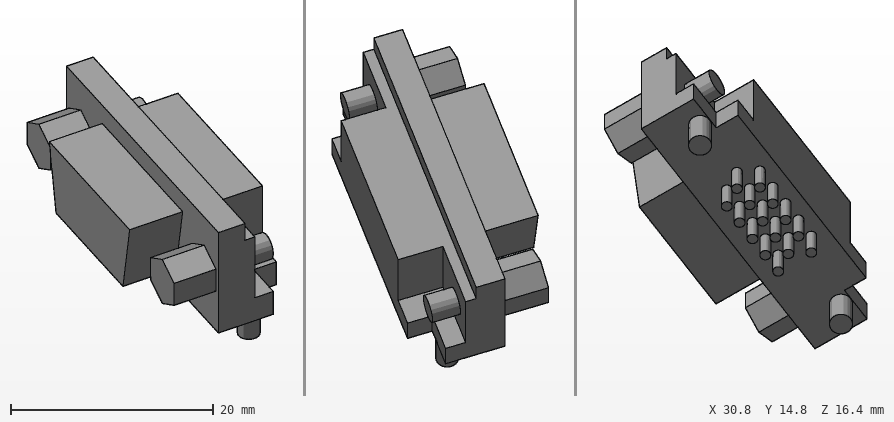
import cadquery as cq
import math

width = 30.8
body_depth = 8.8
body_height = 10.47
flange_height = 12.57
flange_thickness = 3.02
wall_depth = 4.13
mid_height = flange_height / 2

housing_width = 17.15
foot_width = 22.75
foot_height = 2.85
side_foot_depth = 6.22

shell_top_width = 16.3
shell_bottom_width = 13.58
shell_height = 8.0
shell_length = 6.0

mount_spacing = 25.0
hex_across_flats = 4.77
hex_length = 4.75
screw_diameter = 2.8
screw_end_depth = 7.05
post_diameter = 2.28
post_length = 3.8

pin_diameter = 1.08
pin_length = 3.15
pins_per_row = 5
pin_pitch = 2.28
row_pitch = 1.97
pin_row_depth = 5.05
pin_group_shift = 0.83


def block(size_x, size_y, size_z):
    """Box centered in X, starting at the flange face and board seat."""
    return cq.Workplane("XY").box(size_x, size_y, size_z, centered=(True, False, False))


def make_body():
    body = block(width, flange_thickness, flange_height)
    body = body.union(block(width, wall_depth, body_height))
    body = body.union(block(housing_width, body_depth, body_height))
    body = body.union(block(width, side_foot_depth, foot_height))
    return body.union(block(foot_width, body_depth, foot_height))


def make_shell():
    top = mid_height + shell_height / 2
    bottom = mid_height - shell_height / 2
    outline = [
        (-shell_top_width / 2, top),
        (shell_top_width / 2, top),
        (shell_bottom_width / 2, bottom),
        (-shell_bottom_width / 2, bottom),
    ]
    return cq.Workplane("XZ").polyline(outline).close().extrude(shell_length)


def make_jackscrew(x):
    """Hexagonal head, corners up and down, in front of the flange and round end behind the wall."""
    plane = cq.Workplane("XZ").center(x, mid_height)
    corner_radius = hex_across_flats / math.sqrt(3)
    corner_angles = [math.pi / 2 + corner * math.pi / 3 for corner in range(6)]
    corners = [(corner_radius * math.cos(angle), corner_radius * math.sin(angle)) for angle in corner_angles]
    head = plane.polyline(corners).close().extrude(hex_length)
    return head.union(plane.circle(screw_diameter / 2).extrude(-screw_end_depth))


def make_pin(x, y, diameter, length):
    """Round pin hanging below the board seat."""
    return cq.Workplane("XY").center(x, y).circle(diameter / 2).extrude(-length)


result = make_body().union(make_shell())

for side in (-1, 1):
    mount_x = side * mount_spacing / 2
    result = result.union(make_jackscrew(mount_x))
    result = result.union(make_pin(mount_x, pin_row_depth, post_diameter, post_length))

for row in (-1, 0, 1):
    row_shift = pin_pitch / 4 if row == 0 else -pin_pitch / 4
    row_y = pin_row_depth + row * row_pitch
    for column in range(pins_per_row):
        pin_x = (column - (pins_per_row - 1) / 2) * pin_pitch + row_shift + pin_group_shift
        result = result.union(make_pin(pin_x, row_y, pin_diameter, pin_length))